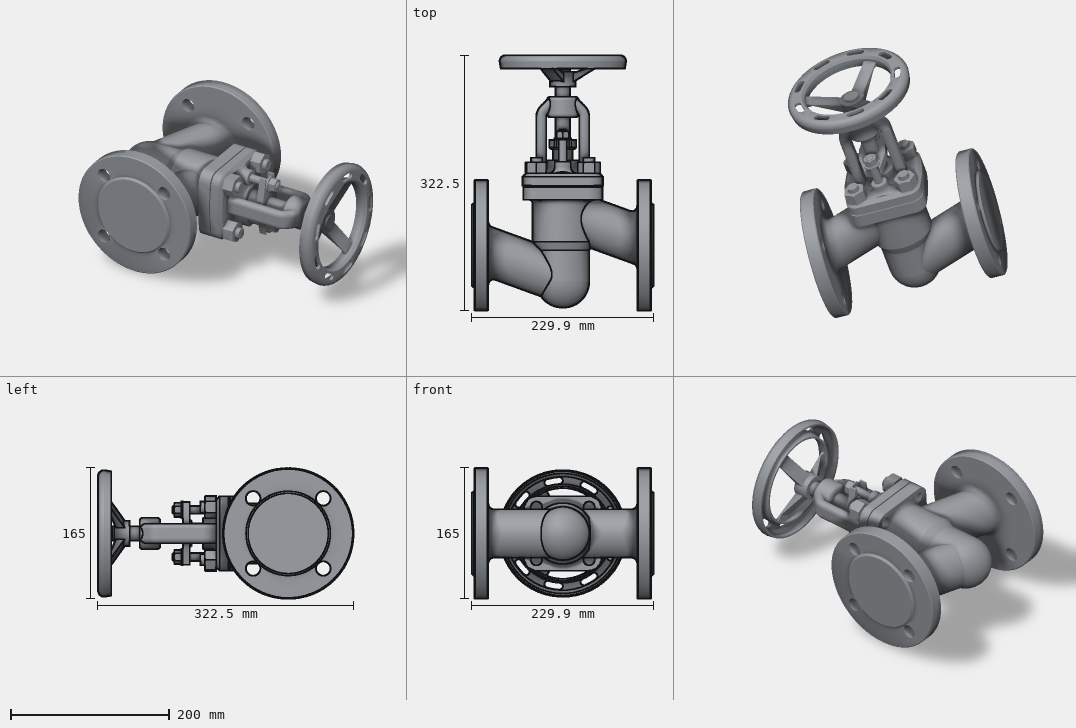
import cadquery as cq
import math


FACE_X = 114.97
RAISED_HEIGHT = 3.2
RAISED_RADIUS = 53.2
RAISED_CHAMFER = 2.5
FLANGE_RADIUS = 82.5
FLANGE_THICKNESS = 18.0
FLANGE_CHAMFER = 1.3
FLANGE_HOLE_DIAMETER = 18.0
FLANGE_HOLE_OFFSET = 44.2

PIPE_RADIUS = 30.5
PIPE_TILT = 20.0
PIPE_FILLET = 6.5

BODY_RADIUS = 38.5
BODY_SHOULDER_Y = 4.5
LOWER_RADIUS = 33.5
LOWER_SHOULDER_Y = -6.0
DOME_Y = -45.0
BODY_FILLET = 4.2

BODY_PLATE_Y = 57.5
BODY_PLATE_THICKNESS = 16.0
BODY_PLATE_HALF_X = 50.3
GASKET_RADIUS = 40.3
GASKET_THICKNESS = 1.77
BONNET_PLATE_THICKNESS = 15.5
BONNET_PLATE_HALF_X = 51.3
BONNET_PLATE_CHAMFER = 4.5
PLATE_HALF_Z = 47.0
PLATE_CORNER_RADIUS = 15.5
STUD_OFFSET = 33.2
GASKET_Y = BODY_PLATE_Y + BODY_PLATE_THICKNESS
BONNET_PLATE_Y = GASKET_Y + GASKET_THICKNESS
BONNET_TOP_Y = BONNET_PLATE_Y + BONNET_PLATE_THICKNESS

STUD_RADIUS = 7.0
STUD_TOP_Y = 110.5
STUD_HOLE_DEPTH = 9.7
STUD_NUT_HEIGHT = 14.2
STUD_NUT_DIAMETER = 28.5
NUT_CHAMFER = 1.0

NECK_RADIUS = 20.0
NECK_TOP_Y = 107.5
LUG_RADIUS = 10.3
LUG_TOP_Y = 105.5
NECK_FLARE = 7.7
NECK_TOP_FILLET = 1.3
GLAND_RADIUS = 12.5
GLAND_BOLT_RADIUS = 5.0
GLAND_BOLT_Z = 29.7
GLAND_BOLT_TOP_Y = 146.0
GLAND_BOLT_CHAMFER = 1.5
GLAND_PLATE_Y = 124.0
GLAND_PLATE_TOP_Y = 133.0
GLAND_PLATE_HALF_X = 17.0
GLAND_PLATE_HALF_Z = 39.7
GLAND_PLATE_END_HALF_X = 10.5
GLAND_PLATE_STRAIGHT_Z = 11.3
GLAND_SLOT_WIDTH = 16.8
GLAND_COLLAR_HEIGHT = 2.5
GLAND_COLLAR_CHAMFER = 2.3
WASHER_RADIUS = 10.5
WASHER_THICKNESS = 2.0
GLAND_NUT_DIAMETER = 18.0
GLAND_NUT_HEIGHT = 9.0

YOKE_HUB_RADIUS = 20.0
YOKE_HUB_Y = 161.2
YOKE_HUB_TOP_Y = 187.5
YOKE_HUB_FILLET = 4.5
ARM_X = 27.0
ARM_THICKNESS = 13.0
ARM_WIDTH = 24.8
ARM_BEND_Y = 162.0
ARM_BEND_RADIUS = 13.0
ARM_END_X = 13.0
ARM_SLOPE = math.radians(45)

STEM_RADIUS = 9.5
STEM_TOP_Y = 222.0
WHEEL_HUB_Y = 200.0
WHEEL_HUB_TOP_Y = 219.0
WHEEL_HUB_RADIUS = 16.0
WHEEL_Y = 223.0
WHEEL_TOP_Y = 240.0
WHEEL_RADIUS = 80.0
RIM_PARTING_Y = 232.0
RIM_EDGE_RADIUS = 78.5
RIM_TOP_RADIUS = 71.5
RIM_WALL = 2.5
RIM_WEB = 4.0
RIM_INNER_RADIUS = 57.0
RIM_INNER_WALL_Y = 225.0
SLOT_COUNT = 9
SLOT_RADIUS = 66.8
SLOT_WIDTH = 8.5
SLOT_ANGLE = 20.0
SPOKE_COUNT = 3
SPOKE_WIDTH = 18.0
SPOKE_START_RADIUS = 9.7
SPOKE_START_Y = 203.8
SPOKE_BACK_START_Y = 216.0
SPOKE_BEND_RADIUS = 48.5
SPOKE_BEND_Y = 227.7
SPOKE_BACK_END_Y = 233.5
SPOKE_END_RADIUS = 59.0

DIAGONAL = math.sqrt(0.5)


def level(y, x=0.0, z=0.0):
    """Workplane normal to Y whose local axes are X and Z."""
    return cq.Workplane("XZ", origin=(x, y, z))


def rod(radius, y_low, y_high, x=0.0, z=0.0):
    return level(y_low, x, z).circle(radius).extrude(y_low - y_high)


def hex_nut(diameter, y_low, height, x, z, turn):
    nut = level(y_low, x, z).polygon(6, diameter).extrude(-height)
    envelope = rod(diameter / 2, y_low, y_low + height, x, z).faces(">Y").chamfer(NUT_CHAMFER)
    nut = nut.intersect(envelope)
    return nut.rotate((x, 0, z), (x, 1, z), turn)


def turned(profile):
    """Revolve a closed radius-height outline about the spindle axis."""
    return profile.close().revolve(360, (0, 0, 0), (0, 1, 0))


def pipe_end():
    """Flange with its inclined pipe on the -X side."""
    flange_x = -FACE_X + RAISED_HEIGHT
    flange = (
        cq.Workplane("YZ", origin=(flange_x, 0, 0))
        .circle(FLANGE_RADIUS)
        .extrude(FLANGE_THICKNESS)
        .edges()
        .chamfer(FLANGE_CHAMFER)
    )
    tilt = math.radians(PIPE_TILT)
    pipe_plane = cq.Plane(
        origin=(-FACE_X, 0, 0),
        xDir=(0, 0, 1),
        normal=(math.cos(tilt), -math.sin(tilt), 0),
    )
    pipe = cq.Workplane(pipe_plane).circle(PIPE_RADIUS).extrude(FACE_X / math.cos(tilt))
    inside_flange = cq.Workplane("YZ", origin=(flange_x + FLANGE_THICKNESS / 2, 0, 0))
    pipe = pipe.intersect(inside_flange.circle(FLANGE_RADIUS).extrude(2 * FACE_X))
    end = flange.union(pipe).edges("%ELLIPSE").fillet(PIPE_FILLET)
    raised = (
        cq.Workplane("YZ", origin=(flange_x, 0, 0))
        .circle(RAISED_RADIUS)
        .extrude(-RAISED_HEIGHT)
        .faces("<X")
        .chamfer(RAISED_CHAMFER)
    )
    holes = (
        cq.Workplane("YZ", origin=(flange_x, 0, 0))
        .rect(2 * FLANGE_HOLE_OFFSET, 2 * FLANGE_HOLE_OFFSET, forConstruction=True)
        .vertices()
        .circle(FLANGE_HOLE_DIAMETER / 2)
        .extrude(FLANGE_THICKNESS)
    )
    return end.union(raised).cut(holes)


def joint_plate(y_low, thickness, half_x):
    """Four-stud plate whose bulging X sides run smoothly into the rounded corners."""
    corner_x = STUD_OFFSET
    corner_z = PLATE_HALF_Z - PLATE_CORNER_RADIUS
    inner_half_x = half_x - PLATE_CORNER_RADIUS
    side_x = (inner_half_x**2 - corner_x**2 - corner_z**2) / (2 * (inner_half_x - corner_x))
    side_radius = half_x - side_x
    side_angle = math.atan2(corner_z, corner_x - side_x)
    tangent_x = side_x + side_radius * math.cos(side_angle)
    tangent_z = side_radius * math.sin(side_angle)
    mid_angle = (side_angle + math.pi / 2) / 2
    mid_x = corner_x + PLATE_CORNER_RADIUS * math.cos(mid_angle)
    mid_z = corner_z + PLATE_CORNER_RADIUS * math.sin(mid_angle)
    return (
        level(y_low)
        .moveTo(-corner_x, PLATE_HALF_Z)
        .lineTo(corner_x, PLATE_HALF_Z)
        .threePointArc((mid_x, mid_z), (tangent_x, tangent_z))
        .threePointArc((half_x, 0), (tangent_x, -tangent_z))
        .threePointArc((mid_x, -mid_z), (corner_x, -PLATE_HALF_Z))
        .lineTo(-corner_x, -PLATE_HALF_Z)
        .threePointArc((-mid_x, -mid_z), (-tangent_x, -tangent_z))
        .threePointArc((-half_x, 0), (-tangent_x, tangent_z))
        .threePointArc((-mid_x, mid_z), (-corner_x, PLATE_HALF_Z))
        .close()
        .extrude(-thickness)
    )


def body():
    """Stepped barrel with a domed bottom, flared into the body plate."""
    flare_y = BODY_PLATE_Y - BODY_FILLET
    flare_radius = BODY_RADIUS + BODY_FILLET
    barrel = turned(
        cq.Workplane("XY")
        .moveTo(0, DOME_Y - LOWER_RADIUS)
        .threePointArc(
            (LOWER_RADIUS * DIAGONAL, DOME_Y - LOWER_RADIUS * DIAGONAL), (LOWER_RADIUS, DOME_Y)
        )
        .lineTo(LOWER_RADIUS, LOWER_SHOULDER_Y)
        .lineTo(BODY_RADIUS, BODY_SHOULDER_Y)
        .lineTo(BODY_RADIUS, flare_y)
        .threePointArc(
            (flare_radius - BODY_FILLET * DIAGONAL, flare_y + BODY_FILLET * DIAGONAL),
            (flare_radius, BODY_PLATE_Y),
        )
        .lineTo(0, BODY_PLATE_Y)
    )
    plate = joint_plate(BODY_PLATE_Y, BODY_PLATE_THICKNESS, BODY_PLATE_HALF_X)
    shell = barrel.union(plate)
    for side_x in (-1, 1):
        for side_z in (-1, 1):
            hole = rod(
                STUD_RADIUS,
                BODY_PLATE_Y - BODY_FILLET,
                BODY_PLATE_Y + STUD_HOLE_DEPTH,
                side_x * STUD_OFFSET,
                side_z * STUD_OFFSET,
            )
            shell = shell.cut(hole)
    return shell


def flared_post(radius, y_low, y_high, z):
    """Round post with a rounded top edge and a concave flare at its foot."""
    flare_radius = radius + NECK_FLARE
    flare_y = y_low + NECK_FLARE
    edge_radius = radius - NECK_TOP_FILLET
    edge_y = y_high - NECK_TOP_FILLET
    post = turned(
        cq.Workplane("XY")
        .moveTo(0, y_low)
        .lineTo(flare_radius, y_low)
        .threePointArc(
            (flare_radius - NECK_FLARE * DIAGONAL, flare_y - NECK_FLARE * DIAGONAL),
            (radius, flare_y),
        )
        .lineTo(radius, edge_y)
        .threePointArc(
            (edge_radius + NECK_TOP_FILLET * DIAGONAL, edge_y + NECK_TOP_FILLET * DIAGONAL),
            (edge_radius, y_high),
        )
        .lineTo(0, y_high)
    )
    return post.translate((0, 0, z))


def bonnet():
    """Gasket, bonnet plate and the neck with its two bolt lugs."""
    gasket = rod(GASKET_RADIUS, GASKET_Y, BONNET_PLATE_Y)
    plate = joint_plate(BONNET_PLATE_Y, BONNET_PLATE_THICKNESS, BONNET_PLATE_HALF_X)
    plate = plate.faces(">Y").chamfer(BONNET_PLATE_CHAMFER)
    neck = flared_post(NECK_RADIUS, BONNET_TOP_Y, NECK_TOP_Y, 0)
    for z in (-GLAND_BOLT_Z, GLAND_BOLT_Z):
        neck = neck.union(flared_post(LUG_RADIUS, BONNET_TOP_Y, LUG_TOP_Y, z))
    top_width = 2 * (PLATE_HALF_Z - BONNET_PLATE_CHAMFER)
    flat_top = level(BONNET_TOP_Y).rect(top_width, top_width).extrude(BONNET_TOP_Y - NECK_TOP_Y)
    return plate.union(neck.intersect(flat_top)).union(gasket)


def studs():
    fasteners = cq.Workplane("XY")
    for side_x in (-1, 1):
        for side_z in (-1, 1):
            x = side_x * STUD_OFFSET
            z = side_z * STUD_OFFSET
            turn = 0 if side_x == side_z else 90
            stud = rod(STUD_RADIUS, BONNET_PLATE_Y, STUD_TOP_Y, x, z)
            nut = hex_nut(STUD_NUT_DIAMETER, BONNET_TOP_Y, STUD_NUT_HEIGHT, x, z, turn)
            fasteners = fasteners.union(stud).union(nut)
    return fasteners


def gland():
    """Gland sleeve, its forked pressure plate and the two gland bolts."""
    plate = (
        level(GLAND_PLATE_Y)
        .polyline([
            (GLAND_PLATE_HALF_X, -GLAND_PLATE_STRAIGHT_Z),
            (GLAND_PLATE_HALF_X, GLAND_PLATE_STRAIGHT_Z),
            (GLAND_PLATE_END_HALF_X, GLAND_PLATE_HALF_Z),
            (-GLAND_PLATE_END_HALF_X, GLAND_PLATE_HALF_Z),
            (-GLAND_PLATE_HALF_X, GLAND_PLATE_STRAIGHT_Z),
            (-GLAND_PLATE_HALF_X, -GLAND_PLATE_STRAIGHT_Z),
            (-GLAND_PLATE_END_HALF_X, -GLAND_PLATE_HALF_Z),
            (GLAND_PLATE_END_HALF_X, -GLAND_PLATE_HALF_Z),
        ])
        .close()
        .extrude(GLAND_PLATE_Y - GLAND_PLATE_TOP_Y)
    )
    collar_y = GLAND_PLATE_Y - GLAND_COLLAR_HEIGHT
    collar = rod(GLAND_PLATE_HALF_X, collar_y, GLAND_PLATE_TOP_Y)
    collar = collar.faces("<Y").chamfer(GLAND_COLLAR_CHAMFER)
    assembly = plate.union(collar).union(rod(GLAND_RADIUS, NECK_TOP_Y, collar_y))
    washer_top = GLAND_PLATE_TOP_Y + WASHER_THICKNESS
    for side in (-1, 1):
        z = side * GLAND_BOLT_Z
        slot = (
            level(GLAND_PLATE_Y, 0, z + side * GLAND_BOLT_Z / 2)
            .slot2D(GLAND_BOLT_Z + GLAND_SLOT_WIDTH, GLAND_SLOT_WIDTH, 90)
            .extrude(GLAND_PLATE_Y - GLAND_PLATE_TOP_Y)
        )
        bolt = rod(GLAND_BOLT_RADIUS, LUG_TOP_Y, GLAND_BOLT_TOP_Y, 0, z)
        bolt = bolt.faces(">Y").chamfer(GLAND_BOLT_CHAMFER)
        washer = rod(WASHER_RADIUS, GLAND_PLATE_TOP_Y, washer_top, 0, z)
        nut = hex_nut(GLAND_NUT_DIAMETER, washer_top, GLAND_NUT_HEIGHT, 0, z, 90)
        assembly = assembly.cut(slot).union(bolt).union(washer).union(nut)
    return assembly


def yoke():
    """Spindle hub carried by two arms of rounded flat section."""
    hub = rod(YOKE_HUB_RADIUS, YOKE_HUB_Y, YOKE_HUB_TOP_Y).edges().fillet(YOKE_HUB_FILLET)
    bend_x = ARM_X - ARM_BEND_RADIUS * (1 - math.cos(ARM_SLOPE))
    bend_y = ARM_BEND_Y + ARM_BEND_RADIUS * math.sin(ARM_SLOPE)
    half = ARM_SLOPE / 2
    path = (
        cq.Workplane("XY")
        .moveTo(ARM_X, BONNET_TOP_Y)
        .lineTo(ARM_X, ARM_BEND_Y)
        .threePointArc(
            (
                ARM_X - ARM_BEND_RADIUS * (1 - math.cos(half)),
                ARM_BEND_Y + ARM_BEND_RADIUS * math.sin(half),
            ),
            (bend_x, bend_y),
        )
        .lineTo(ARM_END_X, bend_y + (bend_x - ARM_END_X) * math.tan(ARM_SLOPE))
    )
    arm = level(BONNET_TOP_Y, ARM_X).slot2D(ARM_WIDTH, ARM_THICKNESS, 90).sweep(path)
    return hub.union(arm).union(arm.mirror("YZ"))


def wheel_rim():
    """Rim of channel section, open toward -Y, with slots through its web."""
    web_y = WHEEL_TOP_Y - RIM_WEB
    crown_radius = WHEEL_RADIUS - RIM_TOP_RADIUS
    crown_y = WHEEL_TOP_Y - RIM_PARTING_Y
    rim = turned(
        cq.Workplane("XY")
        .moveTo(RIM_EDGE_RADIUS - RIM_WALL, WHEEL_Y)
        .lineTo(RIM_EDGE_RADIUS, WHEEL_Y)
        .lineTo(WHEEL_RADIUS, RIM_PARTING_Y)
        .threePointArc(
            (RIM_TOP_RADIUS + crown_radius * DIAGONAL, RIM_PARTING_Y + crown_y * DIAGONAL),
            (RIM_TOP_RADIUS, WHEEL_TOP_Y),
        )
        .lineTo(RIM_INNER_RADIUS + RIM_WALL, WHEEL_TOP_Y)
        .lineTo(RIM_INNER_RADIUS, web_y)
        .lineTo(RIM_INNER_RADIUS, RIM_INNER_WALL_Y)
        .lineTo(RIM_INNER_RADIUS + RIM_WALL, RIM_INNER_WALL_Y)
        .lineTo(RIM_INNER_RADIUS + 2 * RIM_WALL, web_y)
        .lineTo(RIM_TOP_RADIUS, web_y)
        .lineTo(WHEEL_RADIUS - RIM_WALL, RIM_PARTING_Y)
    )
    end_angle = math.degrees(SLOT_WIDTH / 2 / SLOT_RADIUS)
    half_angle = math.radians(SLOT_ANGLE / 2 - end_angle)
    tip_angle = math.radians(SLOT_ANGLE / 2)
    inner = SLOT_RADIUS - SLOT_WIDTH / 2
    outer = SLOT_RADIUS + SLOT_WIDTH / 2

    def on_circle(radius, angle):
        return (-radius * math.cos(angle), radius * math.sin(angle))

    slot = (
        level(web_y)
        .moveTo(*on_circle(inner, -half_angle))
        .threePointArc(on_circle(inner, 0), on_circle(inner, half_angle))
        .threePointArc(on_circle(SLOT_RADIUS, tip_angle), on_circle(outer, half_angle))
        .threePointArc(on_circle(outer, 0), on_circle(outer, -half_angle))
        .threePointArc(on_circle(SLOT_RADIUS, -tip_angle), on_circle(inner, -half_angle))
        .close()
        .extrude(-RIM_WEB)
    )
    for i in range(SLOT_COUNT):
        rim = rim.cut(slot.rotate((0, 0, 0), (0, 1, 0), i * 360 / SLOT_COUNT))
    return rim


def wheel_spoke():
    """Tapered bar rising from the hub, its underside levelling out before the rim."""
    return (
        cq.Workplane("XY")
        .moveTo(SPOKE_START_RADIUS, SPOKE_START_Y)
        .lineTo(SPOKE_BEND_RADIUS, SPOKE_BEND_Y)
        .lineTo(SPOKE_END_RADIUS, SPOKE_BEND_Y)
        .lineTo(SPOKE_END_RADIUS, SPOKE_BACK_END_Y)
        .lineTo(SPOKE_START_RADIUS, SPOKE_BACK_START_Y)
        .close()
        .extrude(SPOKE_WIDTH / 2, both=True)
    )


def handwheel():
    hub = rod(WHEEL_HUB_RADIUS, WHEEL_HUB_Y, WHEEL_HUB_TOP_Y)
    wheel = hub.union(wheel_rim())
    spoke = wheel_spoke()
    for i in range(SPOKE_COUNT):
        wheel = wheel.union(spoke.rotate((0, 0, 0), (0, 1, 0), i * 360 / SPOKE_COUNT))
    return wheel


inlet = pipe_end()
outlet = inlet.rotate((0, 0, 0), (0, 0, 1), 180)
stem = rod(STEM_RADIUS, NECK_TOP_Y, STEM_TOP_Y)

result = body().union(inlet).union(outlet)
for component in (bonnet(), studs(), gland(), yoke(), stem, handwheel()):
    result = result.union(component)